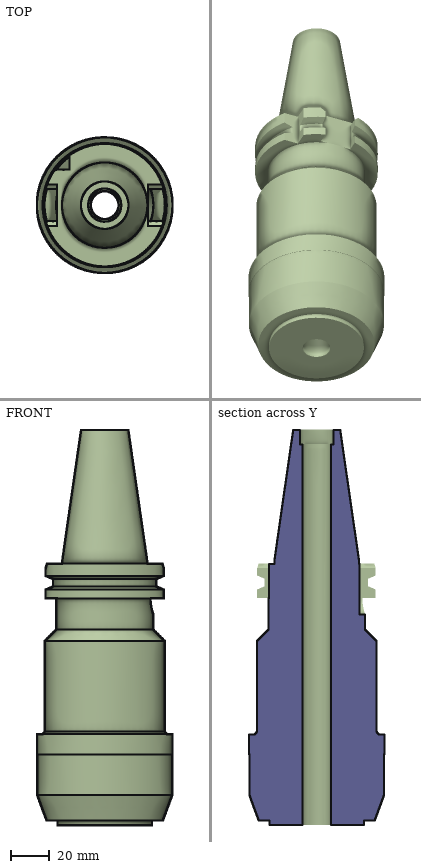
import cadquery as cq

overall_height = 205.5
nose_height = 2.5
nut_cone_top = 15.8
nut_band_bottom = 37.0
nut_top = 47.5
collar_top = 48.7
body_top = 95.7
flange_bottom = 118.0
groove_lower_edge = 122.5
groove_upper_edge = 129.6
flange_top = 136.0
taper_bottom = 137.0

nose_radius = 24.6
nut_cone_bottom_radius = 30.2
nut_radius = 35.1
nut_band_radius = 35.3
collar_radius = 32.2
body_radius = 31.2
neck_radius = 25.3
flange_radius = 31.8
groove_radius = 28.1
taper_large_radius = 22.2
taper_small_radius = 12.3

groove_flank_height = 1.6
shoulder_height = body_radius - neck_radius
neck_bottom = body_top + shoulder_height

bore_radius = 7.2
counterbore_radius = 8.6
counterbore_depth = 7.5

slot_width = 16.6
slot_chamfer = 2.5
shallow_slot_floor = 24.9
deep_slot_floor = 22.4
notch_x = 18.3
notch_y = 18.5

cut_reach = 2 * flange_radius
flange_height = flange_top - flange_bottom


def turned_body():
    profile = [
        (0, 0),
        (nose_radius, 0),
        (nose_radius, nose_height),
        (nut_cone_bottom_radius, nose_height),
        (nut_radius, nut_cone_top),
        (nut_radius, nut_band_bottom),
        (nut_band_radius, nut_band_bottom),
        (nut_band_radius, nut_top),
        (collar_radius, nut_top),
        (body_radius, collar_top),
        (body_radius, body_top),
        (neck_radius, neck_bottom),
        (neck_radius, flange_bottom),
        (flange_radius, flange_bottom),
        (flange_radius, groove_lower_edge),
        (groove_radius, groove_lower_edge + groove_flank_height),
        (groove_radius, groove_upper_edge - groove_flank_height),
        (flange_radius, groove_upper_edge),
        (flange_radius, flange_top),
        (taper_large_radius, flange_top),
        (taper_large_radius, taper_bottom),
        (taper_small_radius, overall_height),
        (0, overall_height),
    ]
    return cq.Workplane("XZ").polyline(profile).close().revolve(360, (0, 0), (0, 1))


def slot_cutter(floor, side, rounded_end):
    """Slot open at the flange top and rim; side is +1 for +X and -1 for -X."""
    half_width = slot_width / 2
    mouth_half_width = half_width + slot_chamfer
    outline = (
        cq.Workplane("YZ")
        .workplane(offset=side * floor)
        .moveTo(half_width, flange_bottom)
        .lineTo(half_width, flange_top - slot_chamfer)
        .lineTo(mouth_half_width, flange_top)
        .lineTo(-mouth_half_width, flange_top)
        .lineTo(-half_width, flange_top - slot_chamfer)
        .lineTo(-half_width, flange_bottom)
    )
    if rounded_end:
        outline = outline.threePointArc((0, flange_bottom - half_width), (half_width, flange_bottom))
    return outline.close().extrude(side * (flange_radius - floor + 2))


def notch_cutter():
    return (
        cq.Workplane("XY")
        .box(cut_reach, cut_reach, flange_height, centered=False)
        .translate((-notch_x - cut_reach, notch_y, flange_bottom))
    )


def bore_cutter():
    through_hole = cq.Workplane("XY").circle(bore_radius).extrude(overall_height)
    counterbore = (
        cq.Workplane("XY")
        .workplane(offset=overall_height - counterbore_depth)
        .circle(counterbore_radius)
        .extrude(counterbore_depth)
    )
    return through_hole.union(counterbore)


result = (
    turned_body()
    .cut(slot_cutter(shallow_slot_floor, side=-1, rounded_end=False))
    .cut(slot_cutter(deep_slot_floor, side=1, rounded_end=True))
    .cut(notch_cutter())
    .cut(bore_cutter())
)